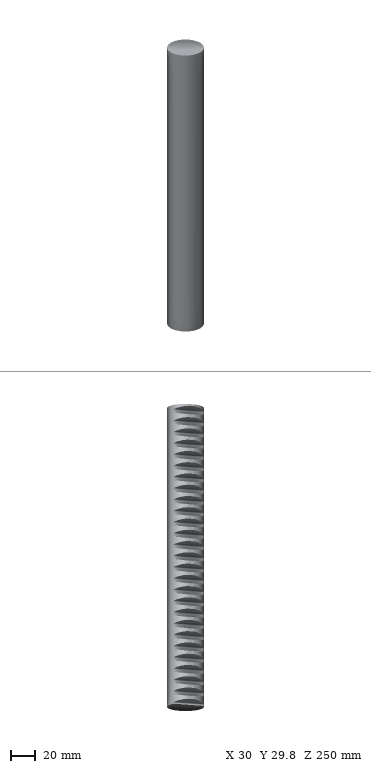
import cadquery as cq
import math

length = 250.0
diameter = 30.0
radius = diameter / 2
tip_offset = 14.8

module = 3.0
flank_angle = 17.0
pitch_line_offset = 11.2
root_offset = 8.0
root_fillet = 0.8
first_gap_drop = 5.0

pitch = math.pi * module
flank_slope = math.tan(math.radians(flank_angle))
gap_count = round((length - first_gap_drop) / pitch) + 1


def half_gap(offset):
    """Half the gap width at a given distance from the bar axis."""
    return pitch / 4 + (offset - pitch_line_offset) * flank_slope


def round_bar():
    """Upright bar with a narrow flat along its +Y side for the tooth tips."""
    bar = cq.Workplane("XY").circle(radius).extrude(length)
    envelope = (
        cq.Workplane("XY")
        .center(0, tip_offset - radius)
        .rect(diameter, diameter)
        .extrude(length)
    )
    return bar.intersect(envelope)


def gap_cutter(z_middle):
    """Trapezoidal tooth gap with rounded root corners, running across the bar in X."""
    half_root = half_gap(root_offset)
    half_mouth = half_gap(radius)
    return (
        cq.Workplane("YZ", origin=(0, 0, z_middle))
        .polyline([
            (root_offset, -half_root),
            (radius, -half_mouth),
            (radius, half_mouth),
            (root_offset, half_root),
        ])
        .close()
        .extrude(radius, both=True)
        .edges("|X and <Y")
        .fillet(root_fillet)
    )


result = round_bar()
for index in range(gap_count):
    result = result.cut(gap_cutter(length - first_gap_drop - index * pitch))